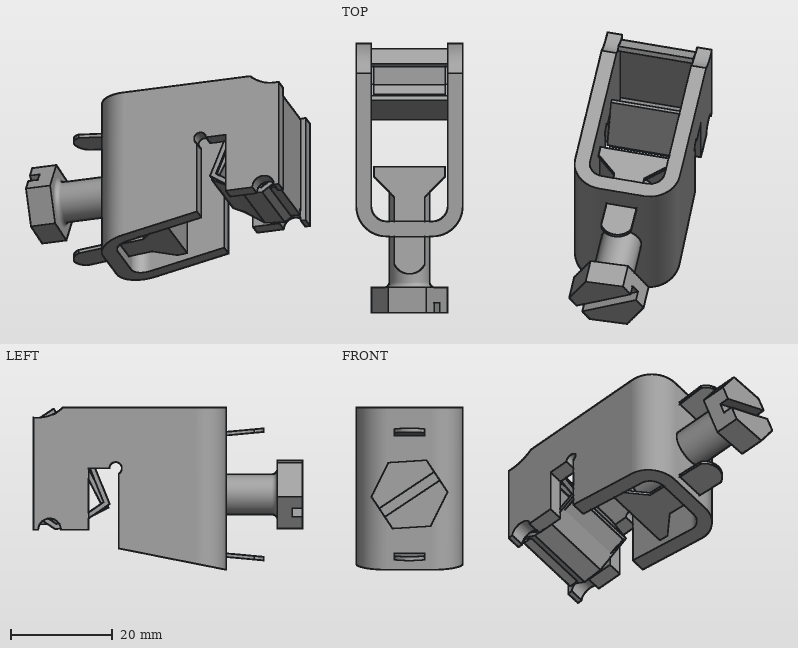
import cadquery as cq
import math


housing_width = 21.0
housing_length = 38.0
housing_height = 32.0
wall = 3.0
inner_width = housing_width - 2 * wall
outer_corner_radius = 6.0
inner_corner_radius = outer_corner_radius - wall

leg_bottom = 7.9
window_front = 21.2
window_back = 27.1
window_top = 20.0
window_relief_radius = 1.2
window_relief_setback = 0.6
skirt_rise = 4.2
top_notch_radius = 7.2
top_notch_centre_y = 37.2
top_notch_floor = 29.95
bottom_notch_radius = 2.2
bottom_notch_centre_y = 34.8

screw_z = 14.86
shank_radius = 8.0 / 2
neck_fillet = 1.0
head_start = 10.0
head_thickness = 5.0
head_across_flats = 13.0
head_angle = 3.6
drive_slot_width = 2.0
drive_slot_depth = 2.0
drive_slot_angle = head_angle + 30.0

shoe_sheet = 0.75
shoe_width = 14.0
shoe_face_y = 13.75
shoe_shoulder_length = 2.0
tongue_width = 6.0
tongue_end_radius = 6.65 / 2
tongue_tip_y = -7.35
tongue_tilt = 5.3
tongue_top_at_wall = 27.2

spring_sheet = 1.0
spring_back_y = 37.0
pad_width = 14.0


def yz_prism(outline, width):
    """A (y, z) outline extruded symmetrically about x = 0."""
    return outline.extrude(width / 2, both=True)


def offset_corners(points, distance):
    """Corners of an open polyline moved sideways, to the left of its direction of travel."""
    directions = []
    for (y0, z0), (y1, z1) in zip(points, points[1:]):
        length = math.hypot(y1 - y0, z1 - z0)
        directions.append(((y1 - y0) / length, (z1 - z0) / length))
    moved = []
    for index, (y, z) in enumerate(points):
        before = directions[max(index - 1, 0)]
        after = directions[min(index, len(directions) - 1)]
        mitre = distance / (1 + before[0] * after[0] + before[1] * after[1])
        moved.append((y - mitre * (before[1] + after[1]), z + mitre * (before[0] + after[0])))
    return moved


def bent_sheet(outer_points, thickness, width):
    """A sheet folded along a (y, z) polyline, its thickness on the left of the line."""
    inner_points = offset_corners(outer_points, thickness)
    outline = cq.Workplane("YZ").polyline(outer_points + inner_points[::-1]).close()
    return yz_prism(outline, width)


def polar_point(start, length, angle):
    """The (y, z) point at a length and an angle in degrees from +Y."""
    y, z = start
    return (y + length * math.cos(math.radians(angle)), z + length * math.sin(math.radians(angle)))


def make_screw():
    """A slotted hexagon-head screw that passes through the bridge and ends on the shoe."""
    hexagon_diameter = head_across_flats / math.cos(math.pi / 6)
    tip_y = shoe_face_y - shoe_sheet
    axis = cq.Workplane("XZ", origin=(0, -head_start, screw_z))
    head = (
        axis.transformed(rotate=(0, 0, head_angle))
        .polygon(6, hexagon_diameter)
        .extrude(head_thickness)
    )
    slot = (
        axis.workplane(offset=head_thickness - drive_slot_depth)
        .transformed(rotate=(0, 0, drive_slot_angle))
        .rect(2 * head_across_flats, drive_slot_width)
        .extrude(drive_slot_depth)
    )
    neck_start = -head_start + neck_fillet
    fillet_mid = neck_fillet * (1 - math.sqrt(0.5))
    shank = (
        cq.Workplane("XY", origin=(0, 0, screw_z))
        .moveTo(0, tip_y)
        .lineTo(shank_radius, tip_y)
        .lineTo(shank_radius, neck_start)
        .threePointArc(
            (shank_radius + fillet_mid, -head_start + fillet_mid),
            (shank_radius + neck_fillet, -head_start),
        )
        .lineTo(0, -head_start)
        .close()
        .revolve(360, (0, 0, 0), (0, 1, 0))
    )
    return head.cut(slot).union(shank)


def shoe_plan():
    """Plan of the shoe flanges: full width at the face, tapering at 45 degrees to a round-ended tongue."""
    half_width = shoe_width / 2
    half_tongue = tongue_width / 2
    shoulder_y = shoe_face_y - shoe_shoulder_length
    neck_y = shoulder_y - (half_width - half_tongue)
    end_centre_y = tongue_tip_y + tongue_end_radius
    end_y = end_centre_y - math.sqrt(tongue_end_radius**2 - half_tongue**2)
    return (
        cq.Workplane("XY")
        .moveTo(-half_width, shoe_face_y)
        .lineTo(half_width, shoe_face_y)
        .lineTo(half_width, shoulder_y)
        .lineTo(half_tongue, neck_y)
        .lineTo(half_tongue, end_y)
        .threePointArc((0, tongue_tip_y), (-half_tongue, end_y))
        .lineTo(-half_tongue, neck_y)
        .lineTo(-half_width, shoulder_y)
        .close()
        .extrude(housing_height)
    )


def make_shoe():
    """A C-shaped sheet whose two tongues leave through the bridge, above and below the screw."""
    slope = math.tan(math.radians(tongue_tilt))
    tip_top = tongue_top_at_wall - slope * tongue_tip_y
    face_top = tongue_top_at_wall - slope * shoe_face_y
    outer_points = [
        (tongue_tip_y, screw_z - (tip_top - screw_z)),
        (shoe_face_y, screw_z - (face_top - screw_z)),
        (shoe_face_y, face_top),
        (tongue_tip_y, tip_top),
    ]
    return bent_sheet(outer_points, shoe_sheet, shoe_width).intersect(shoe_plan())


def make_spring():
    """A folded sheet spring between the legs, with a narrower pad fused to it."""
    lip_tip = (34.0, 31.75)
    back_top = (spring_back_y, 29.75)
    back_bottom = (spring_back_y, 10.2)
    floor_back = (33.7, 8.0)
    floor_front = (29.6, 8.45)
    nose = (22.95, 12.97)
    free_end = (26.8, 22.4)
    outer = [free_end, nose, floor_front, floor_back, back_bottom, back_top, lip_tip]
    sheet = bent_sheet(outer, spring_sheet, inner_width)

    pad_floor = 8.95
    pad_nose = (23.2, 12.25)
    pad_v_angle = 27.0
    pad_v_length = 8.7
    leg_length = (pad_nose[1] - pad_floor) / math.sin(math.radians(pad_v_angle))
    pad_floor_front = polar_point(pad_nose, leg_length, -pad_v_angle)
    pad_free_end = polar_point(pad_nose, pad_v_length, 90 - pad_v_angle)
    pad_outer = [
        pad_free_end,
        pad_nose,
        pad_floor_front,
        (spring_back_y, pad_floor),
        back_top,
    ]
    pad = bent_sheet(pad_outer, spring_sheet, pad_width)
    return sheet.union(pad, clean=False)


def strap_plan(width, front_y, corner_radius):
    """A plan that is rounded at its front corners and reaches the open end of the strap."""
    length = housing_length - front_y
    return (
        cq.Workplane("XY", origin=(0, front_y + length / 2, 0))
        .rect(width, length)
        .extrude(housing_height)
        .edges("|Z and <Y")
        .fillet(corner_radius)
    )


def side_outline():
    """Side outline of the strap, with the top notch and the open-bottomed window."""
    notch_centre_z = top_notch_floor + top_notch_radius
    notch_front_y = top_notch_centre_y - math.sqrt(
        top_notch_radius**2 - (notch_centre_z - housing_height) ** 2
    )
    back_rise = top_notch_radius - math.sqrt(
        top_notch_radius**2 - (housing_length - top_notch_centre_y) ** 2
    )
    return (
        cq.Workplane("YZ")
        .moveTo(0, 0)
        .lineTo(0, housing_height)
        .lineTo(notch_front_y, housing_height)
        .threePointArc(
            (top_notch_centre_y, top_notch_floor), (housing_length, top_notch_floor + back_rise)
        )
        .lineTo(housing_length, leg_bottom)
        .lineTo(window_back, leg_bottom)
        .lineTo(window_back, window_top)
        .lineTo(window_front, window_top)
        .lineTo(window_front, skirt_rise)
        .close()
    )


def make_housing(screw, shoe):
    """The strap with its side cuts, the screw hole and the tongue slots."""
    strap = strap_plan(housing_width, 0, outer_corner_radius)
    strap = strap.cut(strap_plan(inner_width, wall, inner_corner_radius))
    strap = strap.intersect(yz_prism(side_outline(), housing_width))
    round_cuts = (
        cq.Workplane("YZ")
        .moveTo(window_front + window_relief_setback, window_top)
        .circle(window_relief_radius)
        .moveTo(bottom_notch_centre_y, leg_bottom)
        .circle(bottom_notch_radius)
    )
    strap = strap.cut(yz_prism(round_cuts, housing_width))
    return strap.cut(screw).cut(shoe)


screw = make_screw()
shoe = make_shoe()
spring = make_spring()
housing = make_housing(screw, shoe)

result = cq.Compound.makeCompound(
    [housing.solids().val(), screw.solids().val(), shoe.solids().val(), spring.solids().val()]
)